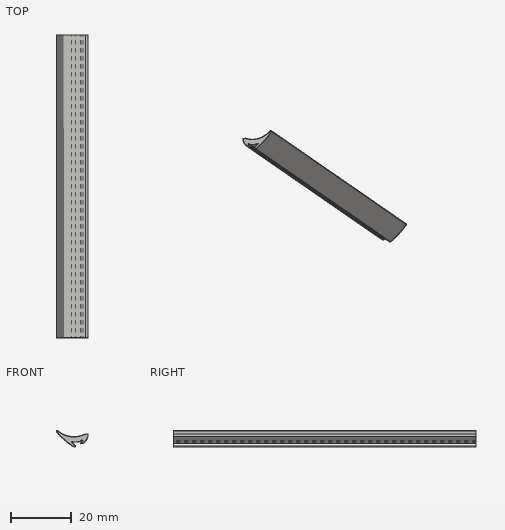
import cadquery as cq
import math

LENGTH = 100.0
WIDTH = 10.5
HEIGHT = 5.5
LEFT = -WIDTH / 2
RIGHT = WIDTH / 2
TOP = HEIGHT / 2
BOTTOM = -HEIGHT / 2

TROUGH_LOW = (0.5, 0.7)
SHOULDER_Z = 1.6
SHOULDER_START = (4.3, SHOULDER_Z)

LIP_RADIUS = 0.3
LIP_CENTER = (LEFT + LIP_RADIUS, TOP - LIP_RADIUS)
LIP_ANGLES = (210, 135, 60)

FLANK_TOP = (RIGHT, 0.8)
FLANK_MIDDLE = (4.7, -0.3)
FOOT_OUTER = (3.5, -1.6)
FOOT_TIP = (2.8, -1.6)
FOOT_INNER = (2.8, -1.4)
NOTCH_LOWER = (3.5, -0.9)
NOTCH_CROWN = (3.3, -0.5)
NOTCH_UPPER = (2.9, -0.8)

UNDERSIDE_MIDDLE = (1.4, -1.1)
LEG_ROOT = (-0.2, -1.0)
LEG_RADIUS = 0.35
LEG_CENTER = (0.7, BOTTOM + LEG_RADIUS)
LEG_ANGLES = (45, -45, -125)
LOWER_FACE_MIDDLE = (-2.2, -0.7)


def points_on_circle(center, radius, angles):
    """Points at the given angles in degrees, counterclockwise from +X."""
    return [
        (
            center[0] + radius * math.cos(math.radians(angle)),
            center[1] + radius * math.sin(math.radians(angle)),
        )
        for angle in angles
    ]


def make_profile():
    """Closed cross-section, running clockwise from the lip."""
    lip_base, lip_crest, lip_end = points_on_circle(LIP_CENTER, LIP_RADIUS, LIP_ANGLES)
    leg_inner, leg_tip, leg_outer = points_on_circle(LEG_CENTER, LEG_RADIUS, LEG_ANGLES)
    return (
        cq.Workplane("XZ", origin=(0, LENGTH / 2, 0))
        .moveTo(*lip_end)
        .threePointArc(TROUGH_LOW, SHOULDER_START)
        .lineTo(RIGHT, SHOULDER_Z)
        .lineTo(*FLANK_TOP)
        .threePointArc(FLANK_MIDDLE, FOOT_OUTER)
        .lineTo(*FOOT_TIP)
        .lineTo(*FOOT_INNER)
        .lineTo(*NOTCH_LOWER)
        .threePointArc(NOTCH_CROWN, NOTCH_UPPER)
        .threePointArc(UNDERSIDE_MIDDLE, LEG_ROOT)
        .lineTo(*leg_inner)
        .threePointArc(leg_tip, leg_outer)
        .threePointArc(LOWER_FACE_MIDDLE, lip_base)
        .threePointArc(lip_crest, lip_end)
        .close()
    )


result = make_profile().extrude(LENGTH)